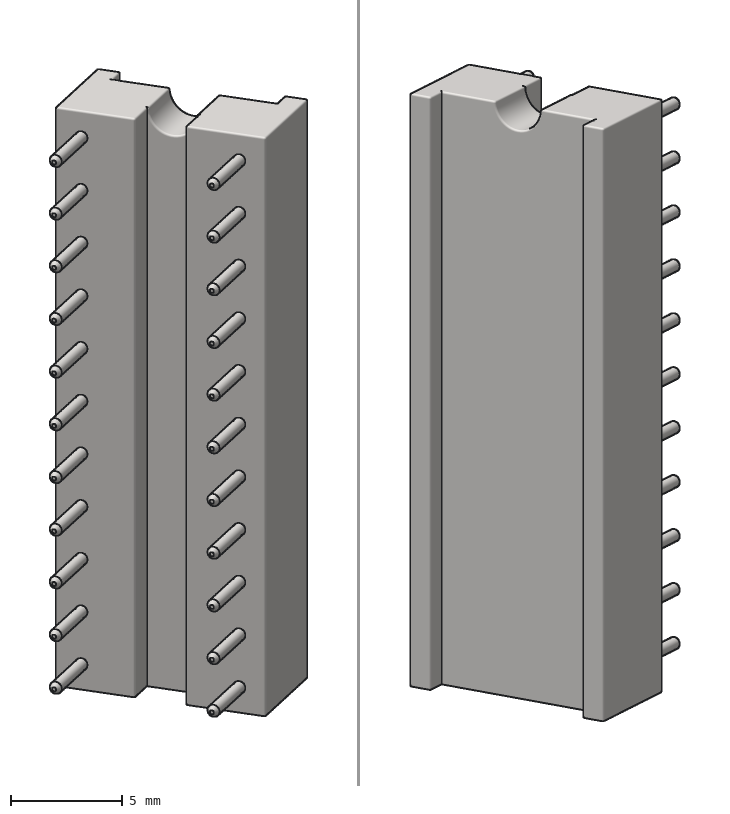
import cadquery as cq

length = 27.95
width = 10.17
depth = 5.15
edge_radius = 0.1

lip_width = 1.12
lip_height = 0.98

channel_width = 2.43
channel_depth = 1.48

notch_radius = 1.17

overall_depth = 8.47
pin_length = overall_depth - depth
pin_diameter = 0.6
pin_tip_chamfer = 0.2
pins_per_row = 11
pin_pitch = length / pins_per_row
row_spacing = 3 * pin_pitch


def make_block():
    half_width = width / 2
    half_channel = channel_width / 2
    half_recess = half_width - lip_width
    ledge_y = depth - lip_height
    right_half = [
        (half_channel, channel_depth),
        (half_channel, 0),
        (half_width, 0),
        (half_width, depth),
        (half_recess, depth),
        (half_recess, ledge_y),
    ]
    left_half = [(-x, y) for x, y in reversed(right_half)]
    block = (
        cq.Workplane("XY", origin=(0, 0, -length / 2))
        .polyline(right_half + left_half)
        .close()
        .extrude(length)
    )
    return block.edges("<Y or >Y or <Z or >Z").fillet(edge_radius)


def cut_notch(block):
    top_z = length / 2
    cutter = (
        cq.Workplane("XZ", origin=(0, depth, 0))
        .center(0, top_z)
        .circle(notch_radius)
        .extrude(depth)
    )
    margin = 0.005
    reach = notch_radius + margin
    rim = cq.selectors.BoxSelector(
        (-reach, 0, top_z - reach),
        (reach, depth, top_z + margin),
    )
    return block.cut(cutter).edges(rim).fillet(edge_radius)


def make_pins():
    return (
        cq.Workplane("XZ")
        .rarray(row_spacing, pin_pitch, 2, pins_per_row)
        .circle(pin_diameter / 2)
        .extrude(pin_length)
        .faces("<Y")
        .chamfer(pin_tip_chamfer)
    )


result = cut_notch(make_block()).union(make_pins())